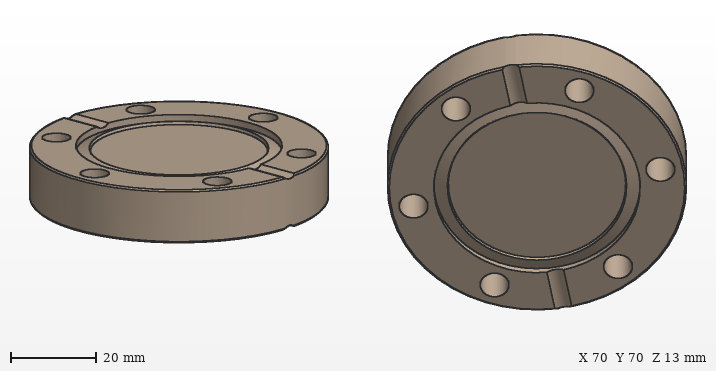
import cadquery as cq

flange_diameter = 70.0
thickness = 13.0
edge_chamfer = 0.4

recess_diameter = 48.3
recess_depth = 1.7
knife_diameter = 42.0
knife_depth = 0.6
floor_diameter = 41.5
floor_depth = 1.4

bolt_count = 6
bolt_circle_diameter = 58.7
bolt_hole_diameter = 6.7

groove_width = 4.0
groove_depth = 0.8

flange_radius = flange_diameter / 2
half_thickness = thickness / 2


def flange_body():
    disc = cq.Workplane("XY").circle(flange_radius).extrude(half_thickness, both=True)
    return disc.faces("|Z").edges().chamfer(edge_chamfer)


def sealing_recess():
    """Revolved cutter for the recess in the top face."""
    return (
        cq.Workplane("XZ")
        .moveTo(0, half_thickness)
        .lineTo(recess_diameter / 2, half_thickness)
        .lineTo(recess_diameter / 2, half_thickness - recess_depth)
        .lineTo(knife_diameter / 2, half_thickness - knife_depth)
        .lineTo(floor_diameter / 2, half_thickness - floor_depth)
        .lineTo(0, half_thickness - floor_depth)
        .close()
        .revolve(360, (0, 0, 0), (0, 1, 0))
    )


def leak_check_grooves():
    """Shallow arc-section cutter across the top face, clear of the knife edge."""
    radius = ((groove_width / 2) ** 2 + groove_depth**2) / (2 * groove_depth)
    axis_height = half_thickness - groove_depth + radius
    bar = (
        cq.Workplane("YZ")
        .center(0, axis_height)
        .circle(radius)
        .extrude(flange_radius, both=True)
    )
    recess_core = cq.Workplane("XY").circle(recess_diameter / 2).extrude(thickness)
    return bar.cut(recess_core)


top_face_cut = sealing_recess().union(leak_check_grooves())
bottom_face_cut = top_face_cut.mirror("XY")

bolt_holes = (
    cq.Workplane("XY")
    .polarArray(bolt_circle_diameter / 2, 90, 360, bolt_count)
    .circle(bolt_hole_diameter / 2)
    .extrude(half_thickness, both=True)
)

result = flange_body().cut(top_face_cut).cut(bottom_face_cut).cut(bolt_holes)